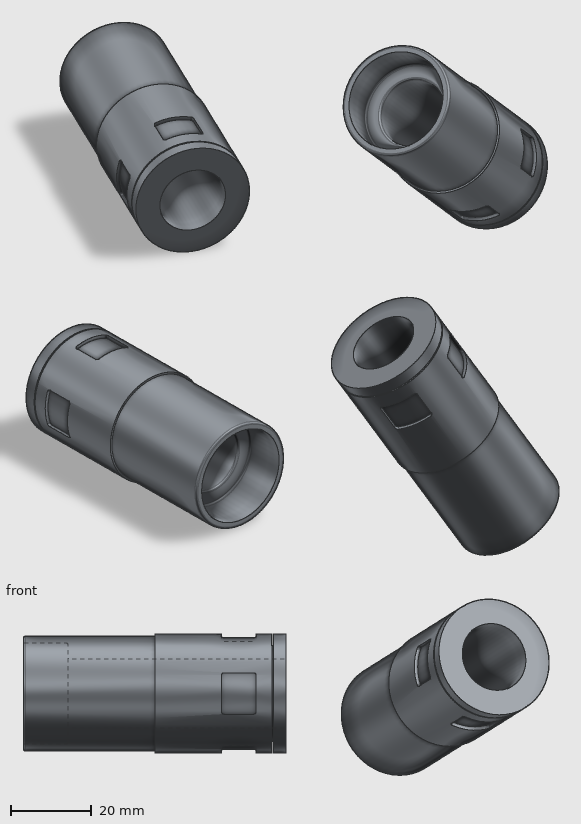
import cadquery as cq

length = 65.0
body_diameter = 29.5
nose_diameter = 28.5
nose_length = 32.5
mouth_fillet = 0.5

socket_diameter = 25.0
socket_depth = 11.05
socket_floor_fillet = 0.5
bore_diameter = 17.0
bore_fillet = 0.5

groove_diameter = 23.7
groove_start = 61.5
groove_width = 0.4

pocket_count = 4
pocket_center_x = 53.3
pocket_length = 8.6
pocket_width = 10.3
pocket_floor_diameter = 27.7
pocket_corner_radius = 0.65


def cylinder(diameter, start, end):
    """Solid cylinder on the X axis between two X positions."""
    return cq.Workplane("YZ").workplane(offset=start).circle(diameter / 2).extrude(end - start)


def make_outside():
    nose = cylinder(nose_diameter, 0, nose_length).faces("<X").fillet(mouth_fillet)
    body = cylinder(body_diameter, nose_length, length)
    return nose.union(body)


def make_bore():
    socket = cylinder(socket_diameter, 0, socket_depth).faces(">X").fillet(socket_floor_fillet)
    through_hole = cylinder(bore_diameter, 0, length)
    return socket.union(through_hole)


def make_groove():
    groove_end = groove_start + groove_width
    outer = cylinder(body_diameter, groove_start, groove_end)
    return outer.cut(cylinder(groove_diameter, groove_start, groove_end))


def make_pockets():
    block = (
        cq.Workplane("XY")
        .center(pocket_center_x, 0)
        .rect(pocket_length, pocket_width)
        .extrude(body_diameter)
        .edges("|Z")
        .fillet(pocket_corner_radius)
    )
    pockets = cq.Workplane("XY")
    for index in range(pocket_count):
        angle = index * 360 / pocket_count
        pockets = pockets.union(block.rotate((0, 0, 0), (1, 0, 0), angle))
    return pockets.cut(cylinder(pocket_floor_diameter, 0, length))


def round_bore_edge(part):
    """Round the rim where the narrow bore meets the socket floor."""
    radius = bore_diameter / 2
    rim_box = cq.selectors.BoxSelector(
        (socket_depth - bore_fillet, -radius - bore_fillet, -radius - bore_fillet),
        (socket_depth + bore_fillet, radius + bore_fillet, radius + bore_fillet),
        boundingbox=True,
    )
    return part.edges(rim_box).fillet(bore_fillet)


sleeve = round_bore_edge(make_outside().cut(make_bore()))
result = sleeve.cut(make_groove()).cut(make_pockets())